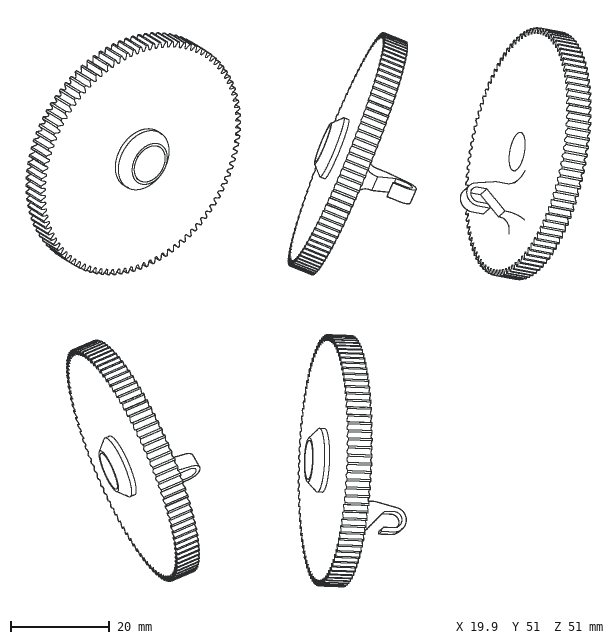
import cadquery as cq
import math


TOOTH_COUNT = 96
OUTER_RADIUS = 25.5
PRESSURE_ANGLE = math.radians(20)
DEDENDUM_RATIO = 1.25
ROOT_ROUND_HEIGHT = 0.15
WHEEL_THICKNESS = 4.95
GEAR_MODULE = 2 * OUTER_RADIUS / (TOOTH_COUNT + 2)
PITCH_RADIUS = GEAR_MODULE * TOOTH_COUNT / 2
ROOT_RADIUS = PITCH_RADIUS - DEDENDUM_RATIO * GEAR_MODULE
FLANK_START_RADIUS = ROOT_RADIUS + ROOT_ROUND_HEIGHT
BASE_RADIUS = PITCH_RADIUS * math.cos(PRESSURE_ANGLE)

HUB_RADIUS = 6.45
HUB_HEIGHT = 3.0
HUB_CHAMFER = 2.0
BORE_DIAMETER = 7.9

ARM_WIDTH = 3.15
ARM_HEIGHT = 6.15
ARM_CENTER_Z = -11.4
ARM_FLARE = 3.0
FLARE_MID = ARM_FLARE * (1 - math.sqrt(0.5))
ARM_TOP = ARM_CENTER_Z + ARM_HEIGHT / 2
ARM_BOTTOM = ARM_CENTER_Z - ARM_HEIGHT / 2
TOP_FLAT_END_X = -5.4
BOTTOM_FLAT_END_X = -3.4

HOOK_REACH = 11.9
BEND_OUTER_RADIUS = 2.55
HOOK_WALL = 0.9
SLOT_RADIUS = BEND_OUTER_RADIUS - HOOK_WALL
BEND_X = -HOOK_REACH + BEND_OUTER_RADIUS
BEND_Z = ARM_BOTTOM + BEND_OUTER_RADIUS
SLOT_TOP_END_X = -7.45
TIP_X = -6.8
TIP_CHAMFER = 0.45


def involute(angle):
    return math.tan(angle) - angle


def flank_angle(radius):
    """Half the angle that a tooth spans at the given radius."""
    half_at_pitch = math.pi / (2 * TOOTH_COUNT)
    local_pressure_angle = math.acos(BASE_RADIUS / radius)
    return half_at_pitch + involute(PRESSURE_ANGLE) - involute(local_pressure_angle)


def polar(radius, angle):
    return (radius * math.cos(angle), radius * math.sin(angle))


def gear_wheel():
    """Toothed disc with arcs for the involute flanks and rounded roots between the teeth."""
    pitch_angle = 2 * math.pi / TOOTH_COUNT
    start_half = flank_angle(FLANK_START_RADIUS)
    pitch_half = flank_angle(PITCH_RADIUS)
    tip_half = flank_angle(OUTER_RADIUS)
    outline = cq.Workplane("YZ").moveTo(*polar(FLANK_START_RADIUS, -start_half))
    for tooth in range(TOOTH_COUNT):
        middle = tooth * pitch_angle
        gap_middle = middle + pitch_angle / 2
        tip_start = polar(OUTER_RADIUS, middle - tip_half)
        tip_end = polar(OUTER_RADIUS, middle + tip_half)
        flank_end = polar(FLANK_START_RADIUS, middle + start_half)
        next_flank = polar(FLANK_START_RADIUS, middle + pitch_angle - start_half)
        outline = (
            outline
            .threePointArc(polar(PITCH_RADIUS, middle - pitch_half), tip_start)
            .threePointArc(polar(OUTER_RADIUS, middle), tip_end)
            .threePointArc(polar(PITCH_RADIUS, middle + pitch_half), flank_end)
            .threePointArc(polar(ROOT_RADIUS, gap_middle), next_flank)
        )
    return outline.close().extrude(WHEEL_THICKNESS)


def hub():
    """Round boss on the +X face, chamfered at its free end."""
    return (
        cq.Workplane("YZ", origin=(WHEEL_THICKNESS, 0, 0))
        .circle(HUB_RADIUS)
        .extrude(HUB_HEIGHT)
        .faces(">X")
        .chamfer(HUB_CHAMFER)
    )


def bore():
    return cq.Workplane("YZ").circle(BORE_DIAMETER / 2).extrude(WHEEL_THICKNESS + HUB_HEIGHT)


def bend_point(radius, angle):
    dx, dz = polar(radius, angle)
    return (BEND_X + dx, BEND_Z + dz)


def hook_side_profile():
    """Side outline of the hook in XZ, including the flares above and below its root."""
    corner_dx = TOP_FLAT_END_X - BEND_X
    corner_dz = ARM_TOP - BEND_Z
    corner_angle = math.atan2(corner_dz, corner_dx)
    tangent_angle = corner_angle + math.acos(BEND_OUTER_RADIUS / math.hypot(corner_dx, corner_dz))
    slot_top = BEND_Z + SLOT_RADIUS
    slot_bottom = BEND_Z - SLOT_RADIUS
    return (
        cq.Workplane("XZ")
        .moveTo(0, ARM_TOP + ARM_FLARE)
        .threePointArc((-FLARE_MID, ARM_TOP + FLARE_MID), (-ARM_FLARE, ARM_TOP))
        .lineTo(TOP_FLAT_END_X, ARM_TOP)
        .lineTo(*bend_point(BEND_OUTER_RADIUS, tangent_angle))
        .threePointArc(bend_point(BEND_OUTER_RADIUS, math.pi), (BEND_X, ARM_BOTTOM))
        .lineTo(TIP_X, ARM_BOTTOM)
        .lineTo(TIP_X, slot_bottom - TIP_CHAMFER)
        .lineTo(TIP_X - TIP_CHAMFER, slot_bottom)
        .lineTo(BEND_X, slot_bottom)
        .threePointArc(bend_point(SLOT_RADIUS, math.pi), (BEND_X, slot_top))
        .lineTo(SLOT_TOP_END_X, slot_top)
        .lineTo(BOTTOM_FLAT_END_X, ARM_BOTTOM)
        .lineTo(-ARM_FLARE, ARM_BOTTOM)
        .threePointArc((-FLARE_MID, ARM_BOTTOM - FLARE_MID), (0, ARM_BOTTOM - ARM_FLARE))
        .close()
    )


def hook_plan_profile():
    """Plan outline of the hook in XY: a straight arm flaring out on both sides of its root."""
    half_width = ARM_WIDTH / 2
    return (
        cq.Workplane("XY")
        .moveTo(0, half_width + ARM_FLARE)
        .threePointArc((-FLARE_MID, half_width + FLARE_MID), (-ARM_FLARE, half_width))
        .lineTo(-HOOK_REACH, half_width)
        .lineTo(-HOOK_REACH, -half_width)
        .lineTo(-ARM_FLARE, -half_width)
        .threePointArc((-FLARE_MID, -half_width - FLARE_MID), (0, -half_width - ARM_FLARE))
        .close()
    )


def hook():
    """Intersecting the two flared outlines gives the root flare its mitred corners."""
    side_solid = hook_side_profile().extrude(ARM_WIDTH / 2 + ARM_FLARE, both=True)
    plan_solid = hook_plan_profile().extrude(2 * OUTER_RADIUS, both=True)
    return side_solid.intersect(plan_solid)


result = gear_wheel().union(hub()).cut(bore()).union(hook())